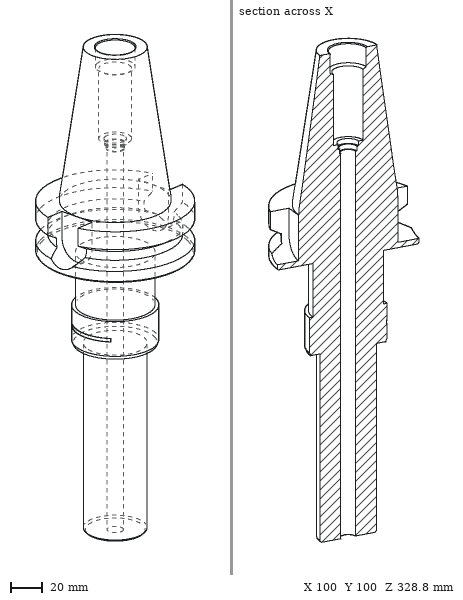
import cadquery as cq
import math

total_length = 328.8
gauge_depth = 102
flange_top_depth = 105.0
flange_bottom_depth = 139.7
collar_top_depth = 175.5
collar_bottom_depth = 201.5

gauge_diameter = 70.0
taper_ratio = 7 / 24
flange_diameter = 100.0
neck_diameter = 50.0
collar_diameter = 55.0
shank_diameter = 40.0

flange_chamfer = 1.0
collar_chamfer_height = 2.3
collar_chamfer_width = 1.0
shank_chamfer = 1.3

groove_top_depth = 117.0
groove_width = 14.8
groove_radial_depth = 7.5
groove_side_angle = 30

drive_slot_width = 25.5
drive_slot_floor = 35.2
drive_slot_tip_depth = 135.8

mark_length = 33
mark_height = 2.3
mark_center_depth = 188.5
mark_cut = 0.3

mouth_chamfer = 0.5
pilot_diameter = 25.0
pilot_length = 13.5
thread_diameter = 20.7
thread_cone_length = 1.3
thread_bottom_depth = 62.5
bore_steps = [(14.0, 65.8), (12.0, 69)]
coolant_diameter = 10.2


def height(depth):
    """Z of a level given by its depth below the small end of the taper."""
    return total_length - depth


def revolve_profile(points):
    """Solid of revolution about Z from (radius, depth) points."""
    outline = [(radius, height(depth)) for radius, depth in points]
    return cq.Workplane("XZ").polyline(outline).close().revolve(360, (0, 0), (0, 1))


def make_body():
    gauge_radius = gauge_diameter / 2
    small_end_radius = gauge_radius - gauge_depth * taper_ratio / 2
    flange_radius = flange_diameter / 2
    groove_radius = flange_radius - groove_radial_depth
    groove_side = groove_radial_depth * math.tan(math.radians(groove_side_angle))
    groove_bottom_depth = groove_top_depth + groove_width
    neck_radius = neck_diameter / 2
    collar_radius = collar_diameter / 2
    shank_radius = shank_diameter / 2
    return revolve_profile([
        (0, 0),
        (small_end_radius, 0),
        (gauge_radius, gauge_depth),
        (gauge_radius, flange_top_depth),
        (flange_radius, flange_top_depth),
        (flange_radius, groove_top_depth),
        (groove_radius, groove_top_depth + groove_side),
        (groove_radius, groove_bottom_depth - groove_side),
        (flange_radius, groove_bottom_depth),
        (flange_radius, flange_bottom_depth - flange_chamfer),
        (flange_radius - flange_chamfer, flange_bottom_depth),
        (neck_radius, flange_bottom_depth),
        (neck_radius, collar_top_depth),
        (collar_radius, collar_top_depth),
        (collar_radius, collar_bottom_depth - collar_chamfer_height),
        (collar_radius - collar_chamfer_width, collar_bottom_depth),
        (shank_radius, collar_bottom_depth),
        (shank_radius, total_length - shank_chamfer),
        (shank_radius - shank_chamfer, total_length),
        (0, total_length),
    ])


def make_bore():
    pilot_radius = pilot_diameter / 2
    thread_radius = thread_diameter / 2
    points = [
        (0, 0),
        (pilot_radius + mouth_chamfer, 0),
        (pilot_radius, mouth_chamfer),
        (pilot_radius, pilot_length),
        (thread_radius, pilot_length + thread_cone_length),
        (thread_radius, thread_bottom_depth),
    ]
    step_top = thread_bottom_depth
    for diameter, step_bottom in bore_steps:
        points += [(diameter / 2, step_top), (diameter / 2, step_bottom)]
        step_top = step_bottom
    coolant_radius = coolant_diameter / 2
    points += [(coolant_radius, step_top), (coolant_radius, total_length), (0, total_length)]
    return revolve_profile(points)


def make_drive_slot():
    """Cutter for the slot on the -Y side: straight walls over a half-round bottom."""
    half_width = drive_slot_width / 2
    arc_center = height(drive_slot_tip_depth) + half_width
    slot_top = height(flange_top_depth)
    return (
        cq.Workplane("XZ", origin=(0, -drive_slot_floor, 0))
        .moveTo(-half_width, slot_top)
        .lineTo(-half_width, arc_center)
        .threePointArc((0, arc_center - half_width), (half_width, arc_center))
        .lineTo(half_width, slot_top)
        .close()
        .extrude(flange_diameter / 2)
    )


def make_mark():
    """Thin ring sector that sinks the marking groove evenly into the collar."""
    ring = (
        cq.Workplane("XY", origin=(0, 0, height(mark_center_depth) - mark_height / 2))
        .circle(collar_diameter / 2 + mark_cut)
        .circle(collar_diameter / 2 - mark_cut)
        .extrude(mark_height)
    )
    front_window = cq.Workplane("XY").box(
        mark_length, collar_diameter, total_length, centered=(True, False, False)
    ).translate((0, -collar_diameter, 0))
    return ring.intersect(front_window)


drive_slot = make_drive_slot()
opposite_slot = drive_slot.mirror("XZ")
result = make_body().cut(make_bore()).cut(drive_slot).cut(opposite_slot).cut(make_mark())